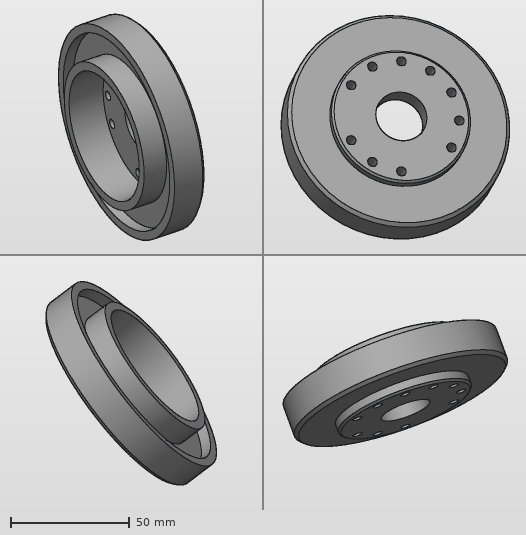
import cadquery as cq

total_length = 26.0
flange_diameter = 96.0
rim_inner_diameter = 88.0
hub_diameter = 66.0
hub_inner_diameter = 58.0
boss_diameter = 60.0
bore_diameter = 22.0

hub_projection = 6.0
boss_height = 4.5
recess_depth = 5.0
hub_pocket_depth = 16.8
flange_chamfer = 1.5
boss_chamfer = 1.0

hole_diameter = 4.0
hole_circle_diameter = 50.0
hole_pitch = 30
skipped_angles = (0, 240)

flange_front = hub_projection
flange_back = total_length - boss_height


def disc(diameter, start, end):
    """Solid cylinder about the Y axis between two Y positions."""
    plane = cq.Workplane("XZ", origin=(0, end, 0))
    return plane.circle(diameter / 2).extrude(end - start)


flange = disc(flange_diameter, flange_front, flange_back).faces(">Y").chamfer(flange_chamfer)
recess = disc(rim_inner_diameter, flange_front, flange_front + recess_depth)
flange = flange.cut(recess)

hub = disc(hub_diameter, 0, flange_back)
boss = disc(boss_diameter, flange_back, total_length).faces(">Y").chamfer(boss_chamfer)
body = flange.union(hub).union(boss)

body = body.cut(disc(hub_inner_diameter, 0, hub_pocket_depth))
body = body.cut(disc(bore_diameter, 0, total_length))

for angle in range(0, 360, hole_pitch):
    if angle in skipped_angles:
        continue
    hole = disc(hole_diameter, 0, total_length).translate((hole_circle_diameter / 2, 0, 0))
    body = body.cut(hole.rotate((0, 0, 0), (0, -1, 0), angle))

result = body